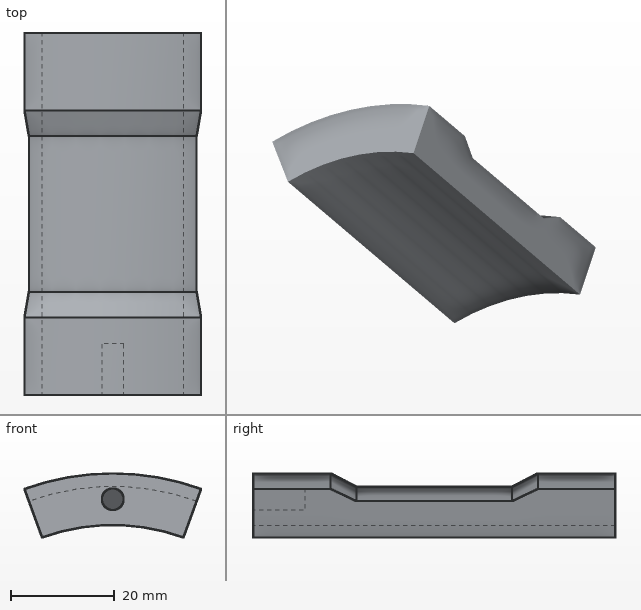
import cadquery as cq

length = 70.0
outer_radius = 50.0
inner_radius = 40.0
segment_angle = 40.0

end_length = 15.0
taper_length = 5.0
waist_depth = 2.5

hole_diameter = 4.2
hole_depth = 10.0

half_length = length / 2
shoulder_y = half_length - end_length
waist_y = shoulder_y - taper_length
waist_radius = outer_radius - waist_depth
hole_height = (inner_radius + outer_radius) / 2


def ring_segment():
    """Revolve the lengthwise section about Y, centred on the +Z direction."""
    section = (
        cq.Workplane("YZ")
        .polyline([
            (-half_length, inner_radius),
            (-half_length, outer_radius),
            (-shoulder_y, outer_radius),
            (-waist_y, waist_radius),
            (waist_y, waist_radius),
            (shoulder_y, outer_radius),
            (half_length, outer_radius),
            (half_length, inner_radius),
        ])
        .close()
    )
    segment = section.revolve(segment_angle, (0, 0), (1, 0))
    return segment.rotate((0, 0, 0), (0, 1, 0), -segment_angle / 2)


def end_hole():
    """Flat-bottomed hole entering from the -Y end, midway through the wall."""
    axis_start = (0, -half_length, hole_height)
    into_part = (0, 1, 0)
    bore = cq.Solid.makeCylinder(hole_diameter / 2, hole_depth, axis_start, into_part)
    return cq.Workplane(obj=bore)


result = ring_segment().cut(end_hole())